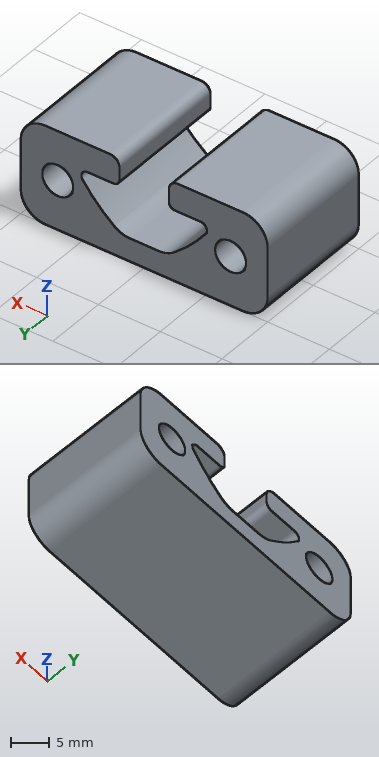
import cadquery as cq

length = 40.0
depth = 20.0
height = 16.0
corner_radius = 4.0

hole_diameter = 5.0
hole_offset = 14.0

mouth_half_width = 4.0
lip_thickness = 4.5
lip_top_radius = 1.5
lip_bottom_radius = 1.0

cavity_depth = 12.25
cavity_top_half_width = 11.05
cavity_floor_half_width = 3.65
flank_radius = 26.0
cavity_top_radius = 1.0
cavity_floor_radius = 4.0

top_z = height / 2
lip_z = top_z - lip_thickness
floor_z = top_z - cavity_depth


def make_profile_body():
    """Extrude the slotted outline through the depth, edges still sharp."""
    return (
        cq.Workplane("XZ")
        .moveTo(-length / 2, -height / 2)
        .lineTo(length / 2, -height / 2)
        .lineTo(length / 2, top_z)
        .lineTo(mouth_half_width, top_z)
        .lineTo(mouth_half_width, lip_z)
        .lineTo(cavity_top_half_width, lip_z)
        .radiusArc((cavity_floor_half_width, floor_z), flank_radius)
        .lineTo(-cavity_floor_half_width, floor_z)
        .radiusArc((-cavity_top_half_width, lip_z), flank_radius)
        .lineTo(-mouth_half_width, lip_z)
        .lineTo(-mouth_half_width, top_z)
        .lineTo(-length / 2, top_z)
        .close()
        .extrude(depth / 2, both=True)
    )


def round_edge_pair(body, half_width, z, radius):
    """Round the two mirrored depthwise edges at +/-half_width and height z."""
    for x in (-half_width, half_width):
        body = body.edges(cq.NearestToPointSelector((x, 0, z))).fillet(radius)
    return body


result = make_profile_body()

for half_width, z, radius in (
    (length / 2, -height / 2, corner_radius),
    (length / 2, top_z, corner_radius),
    (mouth_half_width, top_z, lip_top_radius),
    (mouth_half_width, lip_z, lip_bottom_radius),
    (cavity_top_half_width, lip_z, cavity_top_radius),
    (cavity_floor_half_width, floor_z, cavity_floor_radius),
):
    result = round_edge_pair(result, half_width, z, radius)

holes = (
    cq.Workplane("XZ")
    .pushPoints([(-hole_offset, 0), (hole_offset, 0)])
    .circle(hole_diameter / 2)
    .extrude(depth / 2, both=True)
)
result = result.cut(holes)